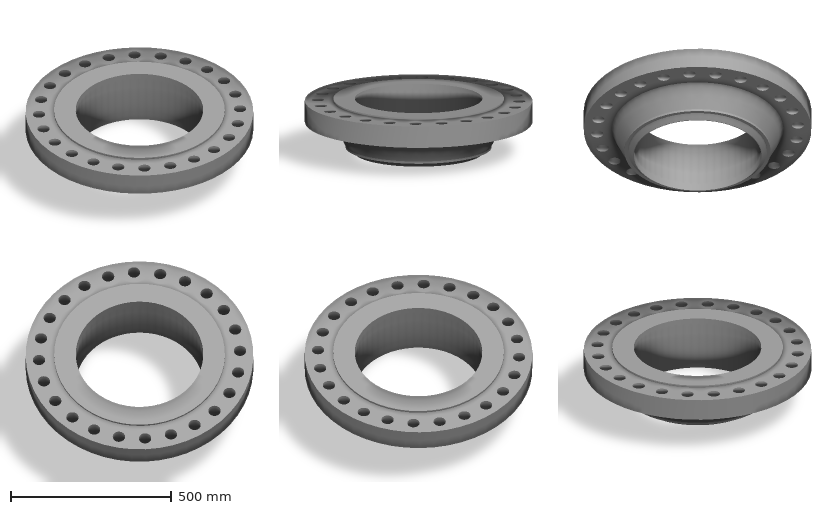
import cadquery as cq

total_height = 171.5
raised_face_height = 6.5
flange_thickness = 68.0
bevel_height = 16.0
land_height = 7.0
root_fillet_height = 6.5

flange_top = total_height - raised_face_height
flange_bottom = flange_top - flange_thickness
land_top = bevel_height + land_height
hub_top = flange_bottom - root_fillet_height

flange_radius = 355.5
raised_face_radius = 267.0
root_radius = 268.0
hub_top_radius = 264.0
land_radius = 228.0
bevel_top_radius = 217.0
weld_end_radius = 201.0
bore_radius = 199.0

bolt_count = 24
bolt_circle_radius = 314.0
bolt_hole_diameter = 38.5


def turned_body():
    """Flange, raised face and tapered weld hub revolved about Z around the bore."""
    profile = (
        cq.Workplane("XZ")
        .moveTo(bore_radius, 0)
        .lineTo(weld_end_radius, 0)
        .lineTo(bevel_top_radius, bevel_height)
        .lineTo(land_radius, bevel_height)
        .lineTo(land_radius, land_top)
        .lineTo(hub_top_radius, hub_top)
        .tangentArcPoint((root_radius, flange_bottom), relative=False)
        .lineTo(flange_radius, flange_bottom)
        .lineTo(flange_radius, flange_top)
        .lineTo(raised_face_radius, flange_top)
        .lineTo(raised_face_radius, total_height)
        .lineTo(bore_radius, total_height)
        .close()
    )
    return profile.revolve(360, (0, 0, 0), (0, 1, 0))


def bolt_holes():
    """Cylinders through the flange, equally spaced with one on the X axis."""
    return (
        cq.Workplane("XY")
        .workplane(offset=flange_bottom)
        .polarArray(bolt_circle_radius, 0, 360, bolt_count)
        .circle(bolt_hole_diameter / 2)
        .extrude(flange_thickness)
    )


result = turned_body().cut(bolt_holes())